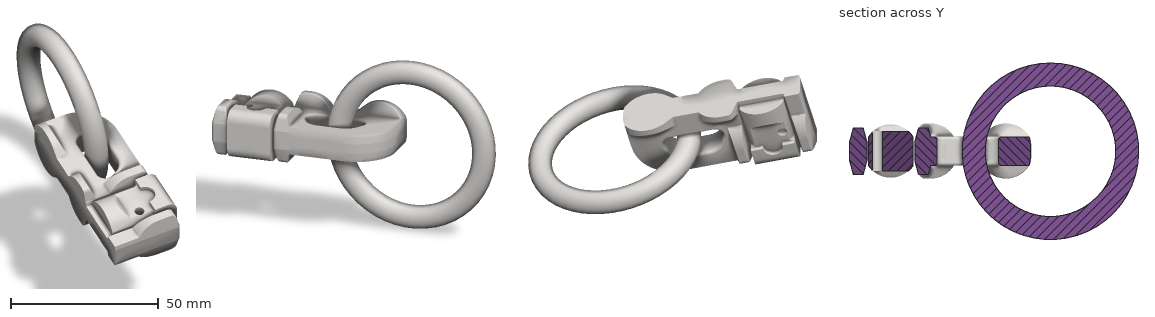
import cadquery as cq
import math


OVERALL_LENGTH = 98.0

RING_OUTER_RADIUS = 30.0
RING_WIRE_RADIUS = 4.0
RING_Y = 13.8

HOUSING_LEFT = 6.4
HOUSING_RIGHT = OVERALL_LENGTH - RING_OUTER_RADIUS
HOUSING_DEPTH = 24.7
BIG_CORNER_RADIUS = 14.2
SMALL_CORNER_RADIUS = 1.3
DRAFT_ANGLE = 15
DRAFT_START = 3.2
PLATE_DRAFT_START = 2.9
PLATE_HALF_HEIGHT = 4.9
PLATE_EDGE_RADIUS = 9.8

JAW_WIDTH = 6.0
RIB_HALF_HEIGHT = 8.7
RIB_FOOT_Y = 9.0
RIB_FLAT_START_Y = 17.0
RIB_FLAT_END_Y = 21.7
RIB_BACK_RADIUS = 2.1
JAW_EDGE_RADIUS = 0.4
RIGHT_JAW_LEFT = HOUSING_RIGHT - JAW_WIDTH

CLIP_X = 54.0
CLIP_WIDTH = 15.3
CLIP_RADIUS = 9.0
CLIP_FRONT_Y = 2.2
CLIP_BACK_Y = 26.5
CLIP_BLOCK_Y = 18.2
CLIP_BLOCK_HALF_HEIGHT = 8.4
CLIP_BACK_RADIUS = 3.8
CLIP_ROOT_RADIUS = 1.0
POCKET_HALF_HEIGHT = 6.8
POCKET_FRONT_Y = 9.8
NOTCH_RADIUS = 3.4
PIN_HOLE_RADIUS = 1.7
PIN_HOLE_X = 58.5
PIN_HOLE_Y = 13.8

CHANNEL_HALF_WIDTH = RIGHT_JAW_LEFT - CLIP_X
LEFT_JAW_RIGHT = CLIP_X - CHANNEL_HALF_WIDTH
LEFT_JAW_LEFT = LEFT_JAW_RIGHT - JAW_WIDTH

PAD_HALF_HEIGHT = 9.3
PAD_TOP_DEPTH = 2.4
PAD_SLOPE_ANGLE = 20
PAD_EDGE_RADIUS = 0.4
LEFT_PAD_X = 15.0
LEFT_PAD_RIGHT = 23.6
RIGHT_PAD_X = 40.5
RIGHT_PAD_SHOULDER_RADIUS = 2.0

SLOT_FRONT_Y = 9.2
SLOT_BACK_Y = 18.5
SLOT_X = 27.9
SLOT_FRONT_WIDTH = 25.5
SLOT_SIDE_ANGLE = 60
SLOT_FRONT_RADIUS = 3.0
SLOT_BACK_RADIUS = 5.9
SLOT_RIM = 1.0


def box(x0, x1, y0, y1, half_height):
    """Box between the given X and Y limits, centred on Z = 0."""
    centre = ((x0 + x1) / 2, (y0 + y1) / 2, 0)
    return cq.Workplane("XY").box(x1 - x0, y1 - y0, 2 * half_height).translate(centre)


def side_profile(outline, x0, x1):
    """Extrude a closed YZ outline from x0 to x1."""
    return outline.extrude(x1 - x0).translate((x0, 0, 0))


def with_mirror(upper):
    """Join a shape with its mirror image below Z = 0."""
    return upper.union(upper.mirror("XY"))


def drafted(x0, x1, half_height, draft_start, left_corner_radius, right_corner_radius):
    """Plate with straight sides near Z = 0 and drafted sides above and below.

    It runs past Y = 0, so that cutting it there leaves a front face without draft.
    """
    plan = box(x0, x1, -half_height, HOUSING_DEPTH, draft_start)
    plan = plan.edges("|Z and >X and >Y").fillet(right_corner_radius)
    if left_corner_radius > 0:
        plan = plan.edges("|Z and <X and >Y").fillet(left_corner_radius)
    upper = (
        plan.faces(">Z").wires().toPending().workplane(origin=(0, 0, draft_start))
        .extrude(half_height - draft_start, taper=DRAFT_ANGLE, combine=False)
    )
    return plan.union(with_mirror(upper))


def jaw_base(x0, left_corner_radius):
    """Low block over the whole depth of a jaw, rounded along the top of its drafted sides."""
    base = drafted(x0, x0 + JAW_WIDTH, PLATE_HALF_HEIGHT, DRAFT_START,
                   left_corner_radius, SMALL_CORNER_RADIUS)
    base = base.faces("<Z or >Z").edges("|Y").edges(">X").fillet(JAW_EDGE_RADIUS)
    return base.intersect(box(x0, x0 + JAW_WIDTH, 0, HOUSING_DEPTH, PLATE_HALF_HEIGHT))


def rib_profile():
    """YZ outline of the upper rib: an arc up from the base, a flat top and a rounded, drafted back."""
    draft = math.radians(DRAFT_ANGLE)
    rise = RIB_HALF_HEIGHT - PLATE_HALF_HEIGHT
    run = RIB_FLAT_START_Y - RIB_FOOT_Y
    rise_radius = (run**2 + rise**2) / (2 * rise)
    rise_z = RIB_HALF_HEIGHT - rise_radius
    foot_angle = math.asin((DRAFT_START - rise_z) / rise_radius)
    rise_angle = (foot_angle + math.pi / 2) / 2
    back_z = RIB_HALF_HEIGHT - RIB_BACK_RADIUS
    back_angle = (draft + math.pi / 2) / 2
    back_end_y = RIB_FLAT_END_Y + RIB_BACK_RADIUS * math.cos(draft)
    back_end_z = back_z + RIB_BACK_RADIUS * math.sin(draft)
    return (
        cq.Workplane("YZ")
        .moveTo(RIB_FLAT_START_Y - rise_radius * math.cos(foot_angle), DRAFT_START)
        .threePointArc((RIB_FLAT_START_Y - rise_radius * math.cos(rise_angle),
                        rise_z + rise_radius * math.sin(rise_angle)),
                       (RIB_FLAT_START_Y, RIB_HALF_HEIGHT))
        .lineTo(RIB_FLAT_END_Y, RIB_HALF_HEIGHT)
        .threePointArc((RIB_FLAT_END_Y + RIB_BACK_RADIUS * math.cos(back_angle),
                        back_z + RIB_BACK_RADIUS * math.sin(back_angle)),
                       (back_end_y, back_end_z))
        .lineTo(back_end_y + (back_end_z - DRAFT_START) * math.tan(draft), DRAFT_START)
        .close()
    )


def jaw_rib(x0, left_corner_radius):
    """Upper rib of a jaw with drafted sides; a side with a rounded back corner has a rounded top edge too."""
    lean = (RIB_HALF_HEIGHT - DRAFT_START) * math.tan(math.radians(DRAFT_ANGLE))
    section = (
        cq.Workplane("XZ")
        .polyline([(x0, DRAFT_START), (x0 + lean, RIB_HALF_HEIGHT),
                   (x0 + JAW_WIDTH - lean, RIB_HALF_HEIGHT), (x0 + JAW_WIDTH, DRAFT_START)])
        .close()
        .extrude(-2 * HOUSING_DEPTH)
    )
    rib = section.intersect(side_profile(rib_profile(), x0, x0 + JAW_WIDTH))
    rounded_sides = "|Y" if left_corner_radius > 0 else "|Y and >X"
    rib = rib.faces(">Z").edges(rounded_sides).fillet(JAW_EDGE_RADIUS)
    blank = drafted(x0, x0 + JAW_WIDTH, RIB_HALF_HEIGHT, DRAFT_START,
                    left_corner_radius, SMALL_CORNER_RADIUS)
    return rib.intersect(blank)


def jaw(x0, left_corner_radius):
    """One jaw: a low base with a rounded rib above and below it at the back."""
    return jaw_base(x0, left_corner_radius).union(with_mirror(jaw_rib(x0, left_corner_radius)))


def pad_slope(height):
    """Distance that a pad's sloping faces fall back over a height."""
    return height * math.tan(math.radians(PAD_SLOPE_ANGLE))


def pad(upper_outline):
    """Pad from the upper half of its XZ outline: its back face slopes and its back edge is rounded."""
    foot_depth = PAD_TOP_DEPTH + pad_slope(PAD_HALF_HEIGHT)
    slope = (
        cq.Workplane("YZ")
        .polyline([(0, 0), (foot_depth, 0), (PAD_TOP_DEPTH, PAD_HALF_HEIGHT), (0, PAD_HALF_HEIGHT)])
        .close()
    )
    upper = upper_outline.extrude(-foot_depth).intersect(side_profile(slope, HOUSING_LEFT, HOUSING_RIGHT))
    return with_mirror(upper.faces(">Y").edges(">Z").fillet(PAD_EDGE_RADIUS))


def pad_arc_start(centre_x):
    """Angle and X at which a pad's circle leaves the plate on its left."""
    angle = math.pi - math.asin(PLATE_HALF_HEIGHT / PAD_HALF_HEIGHT)
    return angle, centre_x + PAD_HALF_HEIGHT * math.cos(angle)


def left_pad():
    """Round pad that runs out to the plate along a tangent on the right."""
    run = LEFT_PAD_RIGHT - LEFT_PAD_X
    tangent_angle = (math.atan2(PLATE_HALF_HEIGHT, run)
                     + math.acos(PAD_HALF_HEIGHT / math.hypot(run, PLATE_HALF_HEIGHT)))
    tangent_point = (LEFT_PAD_X + PAD_HALF_HEIGHT * math.cos(tangent_angle),
                     PAD_HALF_HEIGHT * math.sin(tangent_angle))
    left = pad_arc_start(LEFT_PAD_X)[1]
    return pad(
        cq.Workplane("XZ")
        .moveTo(left, 0)
        .lineTo(left, PLATE_HALF_HEIGHT)
        .threePointArc((LEFT_PAD_X, PAD_HALF_HEIGHT), tangent_point)
        .lineTo(LEFT_PAD_RIGHT, PLATE_HALF_HEIGHT)
        .lineTo(LEFT_PAD_RIGHT, 0)
        .close()
    )


def right_pad():
    """Pad that is round on the left, flat on top and slopes down to the channel on the right."""
    slope = math.radians(PAD_SLOPE_ANGLE)
    left_angle, left = pad_arc_start(RIGHT_PAD_X)
    arc_angle = (left_angle + math.pi / 2) / 2
    wall_top_x = LEFT_JAW_RIGHT - pad_slope(PAD_HALF_HEIGHT - DRAFT_START)
    tangent = RIGHT_PAD_SHOULDER_RADIUS * math.tan((math.pi / 2 - slope) / 2)
    shoulder_x = wall_top_x - tangent
    shoulder_z = PAD_HALF_HEIGHT - RIGHT_PAD_SHOULDER_RADIUS
    shoulder_angle = (math.pi / 2 + slope) / 2
    return pad(
        cq.Workplane("XZ")
        .moveTo(left, 0)
        .lineTo(left, PLATE_HALF_HEIGHT)
        .threePointArc((RIGHT_PAD_X + PAD_HALF_HEIGHT * math.cos(arc_angle),
                        PAD_HALF_HEIGHT * math.sin(arc_angle)),
                       (RIGHT_PAD_X, PAD_HALF_HEIGHT))
        .lineTo(shoulder_x, PAD_HALF_HEIGHT)
        .threePointArc((shoulder_x + RIGHT_PAD_SHOULDER_RADIUS * math.cos(shoulder_angle),
                        shoulder_z + RIGHT_PAD_SHOULDER_RADIUS * math.sin(shoulder_angle)),
                       (shoulder_x + RIGHT_PAD_SHOULDER_RADIUS * math.cos(slope),
                        shoulder_z + RIGHT_PAD_SHOULDER_RADIUS * math.sin(slope)))
        .lineTo(LEFT_JAW_RIGHT, DRAFT_START)
        .lineTo(LEFT_JAW_RIGHT, 0)
        .close()
    )


def slot():
    """Hole for the ring: a trapezoid with rounded corners, narrower at the back."""
    narrowing = (SLOT_BACK_Y - SLOT_FRONT_Y) / math.tan(math.radians(SLOT_SIDE_ANGLE))
    front_half = SLOT_FRONT_WIDTH / 2
    back_half = front_half - narrowing
    return (
        cq.Workplane("XY", origin=(SLOT_X, 0, -PLATE_HALF_HEIGHT))
        .polyline([(-front_half, SLOT_FRONT_Y), (front_half, SLOT_FRONT_Y),
                   (back_half, SLOT_BACK_Y), (-back_half, SLOT_BACK_Y)])
        .close()
        .extrude(2 * PLATE_HALF_HEIGHT)
        .edges("|Z").edges("<Y").fillet(SLOT_FRONT_RADIUS)
        .edges("|Z").edges(">Y").fillet(SLOT_BACK_RADIUS)
    )


def make_housing():
    """Plate with the ring slot, the two jaws, the bridge between them and the front pads."""
    plate_right = LEFT_JAW_LEFT + JAW_WIDTH / 2
    plate = drafted(HOUSING_LEFT, plate_right, PLATE_HALF_HEIGHT, PLATE_DRAFT_START,
                    BIG_CORNER_RADIUS, SMALL_CORNER_RADIUS)
    plate = plate.edges("|Y").edges("<X").fillet(PLATE_EDGE_RADIUS)
    plate = plate.intersect(box(HOUSING_LEFT, plate_right, 0, HOUSING_DEPTH, PLATE_HALF_HEIGHT)).cut(slot())
    slot_mouths = cq.selectors.BoxSelector(
        (SLOT_X - SLOT_FRONT_WIDTH / 2, SLOT_FRONT_Y, -PLATE_HALF_HEIGHT),
        (SLOT_X + SLOT_FRONT_WIDTH / 2, SLOT_BACK_Y, PLATE_HALF_HEIGHT))
    plate = plate.faces("<Z or >Z").edges(slot_mouths).fillet(SLOT_RIM)
    bridge = box(LEFT_JAW_RIGHT, RIGHT_JAW_LEFT, 0, CLIP_FRONT_Y, DRAFT_START)
    left_jaw = jaw(LEFT_JAW_LEFT, 0)
    right_jaw = jaw(RIGHT_JAW_LEFT, SMALL_CORNER_RADIUS)
    housing = plate.union(left_jaw).union(right_jaw).union(bridge)
    return housing.union(left_pad()).union(right_pad())


def make_clip():
    """Barrel running into a block at the back, with pockets and notches above and below and a pin hole."""
    x0 = CLIP_X - CLIP_WIDTH / 2
    x1 = CLIP_X + CLIP_WIDTH / 2
    barrel = (
        cq.Workplane("XZ", origin=(CLIP_X, CLIP_FRONT_Y, 0))
        .circle(CLIP_RADIUS)
        .extrude(CLIP_FRONT_Y - CLIP_BLOCK_Y)
    )
    pocket_depth = CLIP_RADIUS - POCKET_HALF_HEIGHT
    pocket = (
        cq.Workplane("YZ")
        .polyline([(POCKET_FRONT_Y, POCKET_HALF_HEIGHT), (CLIP_BLOCK_Y, POCKET_HALF_HEIGHT),
                   (CLIP_BLOCK_Y, CLIP_RADIUS), (POCKET_FRONT_Y - pocket_depth, CLIP_RADIUS)])
        .close()
    )
    root = (
        cq.Workplane("XY", origin=(CLIP_X, 0, 0))
        .moveTo(CLIP_RADIUS, CLIP_BLOCK_Y - CLIP_ROOT_RADIUS)
        .radiusArc((CLIP_RADIUS + CLIP_ROOT_RADIUS, CLIP_BLOCK_Y), CLIP_ROOT_RADIUS)
        .lineTo(0, CLIP_BLOCK_Y)
        .lineTo(0, CLIP_BLOCK_Y - CLIP_ROOT_RADIUS)
        .close()
        .revolve(360, (0, 0, 0), (0, 1, 0))
    )
    barrel = barrel.union(root).cut(with_mirror(side_profile(pocket, x0, x1)))
    barrel = barrel.intersect(box(x0, x1, CLIP_FRONT_Y, CLIP_BLOCK_Y, CLIP_RADIUS))
    block = box(x0, x1, CLIP_BLOCK_Y, CLIP_BACK_Y, CLIP_BLOCK_HALF_HEIGHT)
    block = block.edges(">Y and |X").fillet(CLIP_BACK_RADIUS)
    notch = (
        cq.Workplane("XY", origin=(CLIP_X, CLIP_BLOCK_Y, POCKET_HALF_HEIGHT))
        .circle(NOTCH_RADIUS)
        .extrude(CLIP_BLOCK_HALF_HEIGHT - POCKET_HALF_HEIGHT)
    )
    pin_hole = (
        cq.Workplane("XY", origin=(PIN_HOLE_X, PIN_HOLE_Y, -CLIP_RADIUS))
        .circle(PIN_HOLE_RADIUS)
        .extrude(2 * CLIP_RADIUS)
    )
    return barrel.union(block).cut(with_mirror(notch)).cut(pin_hole)


def make_ring():
    """Closed ring of round wire, with its axis along Y."""
    centre = cq.Vector(0, RING_Y, 0)
    axis = cq.Vector(0, 1, 0)
    return cq.Workplane(cq.Solid.makeTorus(RING_OUTER_RADIUS - RING_WIRE_RADIUS, RING_WIRE_RADIUS, centre, axis))


ring = make_ring()
housing = make_housing()
clip = make_clip()
result = cq.Compound.makeCompound([ring.val(), housing.solids().val(), clip.solids().val()])